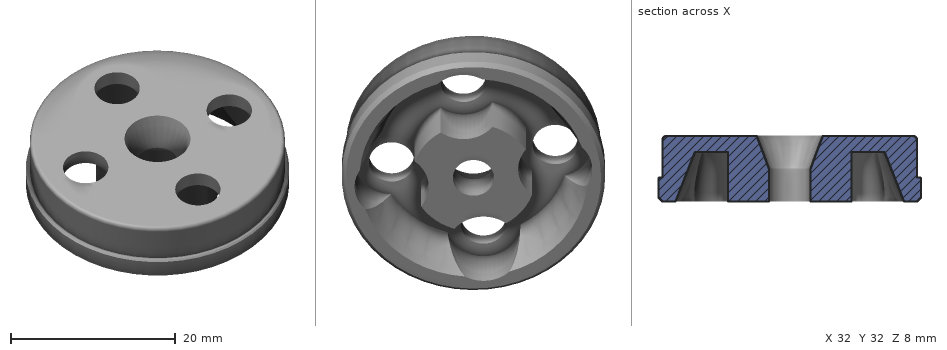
import cadquery as cq

height = 8.0
flange_diameter = 32.0
body_diameter = 31.0
flange_height = 3.0

top_fillet = 0.5
bottom_chamfer = 0.5
flange_top_chamfer = 0.2

plate_thickness = 2.0
cavity_bottom_diameter = 27.7
cavity_top_diameter = 23.0
boss_diameter = 15.0

bore_diameter = 5.0
taper_top_diameter = 8.0
taper_depth = 4.0

plate_hole_diameter = 5.5
plate_hole_circle_radius = 10.0
plate_hole_count = 4
first_hole_angle = 45.0
counterbore_diameter = 9.0

ceiling_height = height - plate_thickness


def make_body():
    """Flange with a smaller cylinder above it, outer edges broken."""
    flange = (
        cq.Workplane("XY")
        .circle(flange_diameter / 2)
        .extrude(flange_height)
        .faces("<Z").chamfer(bottom_chamfer)
        .faces(">Z").chamfer(flange_top_chamfer)
    )
    upper = (
        cq.Workplane("XY")
        .workplane(offset=bottom_chamfer)
        .circle(body_diameter / 2)
        .extrude(height - bottom_chamfer)
        .faces(">Z").edges().fillet(top_fillet)
    )
    return flange.union(upper)


def make_cavity():
    """Ring-shaped hollow below the top plate, widening towards the bottom."""
    return (
        cq.Workplane("XZ")
        .moveTo(boss_diameter / 2, 0)
        .lineTo(cavity_bottom_diameter / 2, 0)
        .lineTo(cavity_top_diameter / 2, ceiling_height)
        .lineTo(boss_diameter / 2, ceiling_height)
        .close()
        .revolve(360, (0, 0, 0), (0, 1, 0))
    )


def make_center_hole():
    """Straight bore with a conical mouth, as one revolved profile."""
    taper_bottom = height - taper_depth
    return (
        cq.Workplane("XZ")
        .moveTo(0, 0)
        .lineTo(bore_diameter / 2, 0)
        .lineTo(bore_diameter / 2, taper_bottom)
        .lineTo(taper_top_diameter / 2, height)
        .lineTo(0, height)
        .close()
        .revolve(360, (0, 0, 0), (0, 1, 0))
    )


def make_cylinder_ring(diameter, bottom, top):
    """Equal vertical cylinders at the plate hole positions."""
    return (
        cq.Workplane("XY")
        .workplane(offset=bottom)
        .polarArray(plate_hole_circle_radius, first_hole_angle, 360, plate_hole_count)
        .circle(diameter / 2)
        .extrude(top - bottom)
    )


plate_holes = make_cylinder_ring(plate_hole_diameter, ceiling_height, height)
counterbores = make_cylinder_ring(counterbore_diameter, 0, ceiling_height)

result = (
    make_body()
    .cut(make_cavity())
    .cut(counterbores)
    .cut(plate_holes)
    .cut(make_center_hole())
)